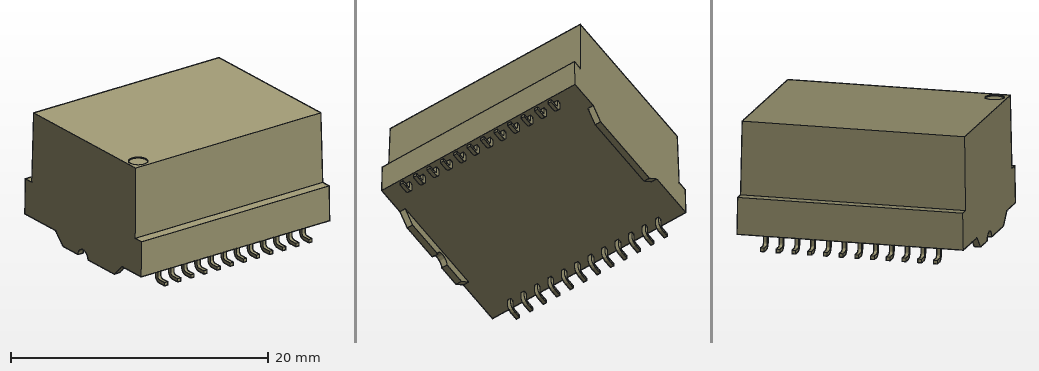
import cadquery as cq
import math

LENGTH = 18.25
LEAD_SPAN = 15.93
HEIGHT = 10.02

BASE_WIDTH = 15.18
BASE_BOTTOM = 1.15
SHELF_HEIGHT = 4.12
CAP_WIDTH = 13.5
DRAFT_ANGLE = 1.0
DRAFT_SLOPE = math.tan(math.radians(DRAFT_ANGLE))

FOOT_BOTTOM = 0.15
FOOT_TOP_WIDTH = 8.69
FOOT_THICKNESS = 0.51
FOOT_CENTER_X = 0.75
NOTCH_RADIUS = 0.64

LEADS_PER_ROW = 12
LEAD_ROW_SPAN = 13.96
LEAD_PITCH = LEAD_ROW_SPAN / (LEADS_PER_ROW - 1)
LEAD_WIDTH = 0.31
LEAD_LEG_THICKNESS = 0.33
LEAD_TOE_THICKNESS = 0.3
LEAD_INNER_X = 6.75
BEND_OUTER_RADIUS = 0.55
BEND_INNER_RADIUS = 0.22

MARK_DIAMETER = 1.5
MARK_DEPTH = 0.1
MARK_X = 5.65
MARK_Y = -7.98


def make_body():
    """Stepped body: the end faces lean inward over the full height, the cap sides above the shelf."""
    half_base = BASE_WIDTH / 2
    half_cap = CAP_WIDTH / 2
    cap_inset = (HEIGHT - SHELF_HEIGHT) * DRAFT_SLOPE
    end_inset = (HEIGHT - BASE_BOTTOM) * DRAFT_SLOPE

    stepped_outline = [
        (-half_base, BASE_BOTTOM),
        (half_base, BASE_BOTTOM),
        (half_base, SHELF_HEIGHT),
        (half_cap, SHELF_HEIGHT),
        (half_cap - cap_inset, HEIGHT),
        (-half_cap + cap_inset, HEIGHT),
        (-half_cap, SHELF_HEIGHT),
        (-half_base, SHELF_HEIGHT),
    ]
    side_outline = [
        (-LENGTH / 2, BASE_BOTTOM),
        (LENGTH / 2, BASE_BOTTOM),
        (LENGTH / 2 - end_inset, HEIGHT),
        (-LENGTH / 2 + end_inset, HEIGHT),
    ]
    stepped = cq.Workplane("XZ").polyline(stepped_outline).close().extrude(LENGTH / 2, both=True)
    leaning = cq.Workplane("YZ").polyline(side_outline).close().extrude(half_base, both=True)
    return stepped.intersect(leaning)


def make_foot(outer_y):
    """Foot with 45 degree ends, running in +Y from outer_y."""
    half_top = FOOT_TOP_WIDTH / 2
    half_bottom = half_top - (BASE_BOTTOM - FOOT_BOTTOM)
    outline = [
        (-half_top, BASE_BOTTOM),
        (half_top, BASE_BOTTOM),
        (half_bottom, FOOT_BOTTOM),
        (-half_bottom, FOOT_BOTTOM),
    ]
    return (
        cq.Workplane("XZ", origin=(FOOT_CENTER_X, outer_y, 0))
        .polyline(outline)
        .close()
        .extrude(-FOOT_THICKNESS)
    )


def make_foot_notch():
    """Half-round cutter through the foot at the -Y end."""
    return (
        cq.Workplane("XZ", origin=(0, -LENGTH / 2, 0))
        .center(0, FOOT_BOTTOM)
        .circle(NOTCH_RADIUS)
        .extrude(-FOOT_THICKNESS)
    )


def make_lead(y):
    """Lead on the +X side: down from the base, round the bend, then outward."""
    tip_x = LEAD_SPAN / 2
    outer_x = LEAD_INNER_X + LEAD_LEG_THICKNESS
    return (
        cq.Workplane("XZ", origin=(0, y + LEAD_WIDTH / 2, 0))
        .moveTo(LEAD_INNER_X, BASE_BOTTOM)
        .lineTo(LEAD_INNER_X, BEND_OUTER_RADIUS)
        .radiusArc((LEAD_INNER_X + BEND_OUTER_RADIUS, 0), -BEND_OUTER_RADIUS)
        .lineTo(tip_x, 0)
        .lineTo(tip_x, LEAD_TOE_THICKNESS)
        .lineTo(outer_x + BEND_INNER_RADIUS, LEAD_TOE_THICKNESS)
        .radiusArc((outer_x, LEAD_TOE_THICKNESS + BEND_INNER_RADIUS), BEND_INNER_RADIUS)
        .lineTo(outer_x, BASE_BOTTOM)
        .close()
        .extrude(LEAD_WIDTH)
    )


def make_pin_one_mark():
    """Shallow round cutter in the top face."""
    return (
        cq.Workplane("XY")
        .workplane(offset=HEIGHT - MARK_DEPTH)
        .center(MARK_X, MARK_Y)
        .circle(MARK_DIAMETER / 2)
        .extrude(MARK_DEPTH)
    )


front_foot = make_foot(-LENGTH / 2).cut(make_foot_notch())
back_foot = make_foot(LENGTH / 2 - FOOT_THICKNESS)

result = make_body().union(front_foot).union(back_foot)

for index in range(LEADS_PER_ROW):
    lead = make_lead((index - (LEADS_PER_ROW - 1) / 2) * LEAD_PITCH)
    result = result.union(lead).union(lead.mirror("YZ"))

result = result.cut(make_pin_one_mark())